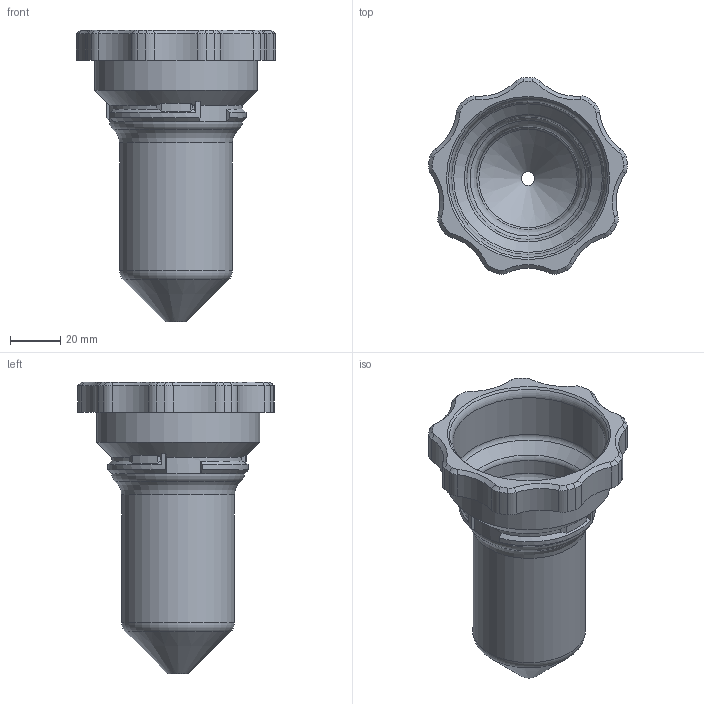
import cadquery as cq
import math

wall = 2.0

cone_height = 18.38
total_height = cone_height + 98.0
knob_height = 12.0
collar_depth = 24.0
neck_end_depth = 36.5

body_radius = 22.5
collar_radius = 32.5
neck_radius = 26.5
tip_fillet = 5.0
neck_bend_convex = 4.0
neck_bend_concave = 7.0

drip_hole_radius = 2.75
mouth_radius = 32.5
mouth_chamfer = 0.8
mouth_round_radius = 5.0
bore_radius = collar_radius - wall
shoulder_fillet = 3.0

lobe_count = 9
knob_radius = 40.0
scallop_radius = 20.0
scallop_center_distance = 56.0
lobe_fillet = 5.0
knob_chamfer = 1.5

lug_count = 3
lug_pitch = 360.0 / lug_count
lug_radius = 28.0
lug_end_angle = 290.0
lug_sweep = 90.0
lug_root = 1.0
lug_height = 5.0
stop_sweep = 4.0
bump_radius = 27.3
bump_start_angle = 258.0
bump_end_angle = 282.5
bump_lead_in = 5.0
bump_lead_out = 2.0

collar_z = total_height - collar_depth
neck_end_z = total_height - neck_end_depth
cone_entry_z = collar_z - (collar_radius - lug_radius)
cone_slope = math.pi / 4


def polar(radius, degrees):
    angle = math.radians(degrees)
    return (radius * math.cos(angle), radius * math.sin(angle))


def bend_points(top_radius, bottom_radius, top_z):
    """S-bend from a wide neck to a narrow body: arc middles, inflection and end."""
    step = top_radius - bottom_radius
    turn = math.acos(1 - step / (neck_bend_convex + neck_bend_concave))
    convex_center = top_radius - neck_bend_convex
    concave_center = bottom_radius + neck_bend_concave
    end_z = top_z - (neck_bend_convex + neck_bend_concave) * math.sin(turn)

    def on_convex(angle):
        radius = convex_center + neck_bend_convex * math.cos(angle)
        return (radius, top_z - neck_bend_convex * math.sin(angle))

    def on_concave(angle):
        radius = concave_center - neck_bend_concave * math.cos(angle)
        return (radius, end_z + neck_bend_concave * math.sin(angle))

    return on_convex(turn / 2), on_convex(turn), on_concave(turn / 2), (bottom_radius, end_z)


def round_corner(corner_radius, corner_z, fillet, side):
    """Fillet between a vertical wall and a 45 degree cone that narrows downwards.

    side = 1 when the wall is above the cone, -1 when it is below.
    Returns the point on the wall, the arc middle and the point on the cone.
    """
    setback = fillet * math.tan(cone_slope / 2)
    center_radius = corner_radius - side * fillet
    center_z = corner_z + side * setback

    def on_arc(angle):
        return (center_radius + side * fillet * math.cos(angle), center_z - side * fillet * math.sin(angle))

    return on_arc(0), on_arc(cone_slope / 2), on_arc(cone_slope)


def make_outer_body():
    """Solid of revolution: collar, cone, neck, S-bend, body and pointed tip."""
    neck_start_z = collar_z - (collar_radius - neck_radius)
    convex_mid, inflection, concave_mid, bend_end = bend_points(neck_radius, body_radius, neck_end_z)
    tip_wall, tip_mid, tip_cone = round_corner(body_radius, cone_height, tip_fillet, 1)
    return (
        cq.Workplane("XZ")
        .moveTo(0, total_height)
        .lineTo(collar_radius, total_height)
        .lineTo(collar_radius, collar_z)
        .lineTo(neck_radius, neck_start_z)
        .lineTo(neck_radius, neck_end_z)
        .threePointArc(convex_mid, inflection)
        .threePointArc(concave_mid, bend_end)
        .lineTo(*tip_wall)
        .threePointArc(tip_mid, tip_cone)
        .lineTo(body_radius - cone_height, 0)
        .lineTo(0, 0)
        .close()
        .revolve(360, (0, 0, 0), (0, 1, 0))
    )


def make_cavity():
    """Hollow inside: mouth, bore, funnel shoulder, throat, conical floor and drip hole."""
    cone_shift = wall * math.tan(cone_slope / 2)
    inner_neck_radius = neck_radius - wall
    inner_body_radius = body_radius - wall
    shoulder_z = collar_z + cone_shift
    throat_z = shoulder_z - (bore_radius - inner_neck_radius)
    floor_z = cone_height + cone_shift

    round_start_radius = mouth_radius - mouth_chamfer
    round_start_z = total_height - mouth_chamfer
    turn = math.acos(1 - (round_start_radius - bore_radius) / mouth_round_radius)
    round_center_radius = bore_radius + mouth_round_radius
    round_end_z = round_start_z - mouth_round_radius * math.sin(turn)
    round_mid = (
        round_center_radius - mouth_round_radius * math.cos(turn / 2),
        round_end_z + mouth_round_radius * math.sin(turn / 2),
    )

    bore_end, shoulder_mid, shoulder_cone = round_corner(bore_radius, shoulder_z, shoulder_fillet, 1)
    throat_wall, throat_mid, throat_cone = round_corner(inner_neck_radius, throat_z, shoulder_fillet, -1)
    convex_mid, inflection, concave_mid, bend_end = bend_points(
        inner_neck_radius, inner_body_radius, neck_end_z
    )
    floor_wall, floor_mid, floor_cone = round_corner(inner_body_radius, floor_z, tip_fillet - wall, 1)
    drip_hole_z = floor_z - (inner_body_radius - drip_hole_radius)
    return (
        cq.Workplane("XZ")
        .moveTo(0, total_height)
        .lineTo(mouth_radius, total_height)
        .lineTo(round_start_radius, round_start_z)
        .threePointArc(round_mid, (bore_radius, round_end_z))
        .lineTo(*bore_end)
        .threePointArc(shoulder_mid, shoulder_cone)
        .lineTo(*throat_cone)
        .threePointArc(throat_mid, throat_wall)
        .lineTo(inner_neck_radius, neck_end_z)
        .threePointArc(convex_mid, inflection)
        .threePointArc(concave_mid, bend_end)
        .lineTo(*floor_wall)
        .threePointArc(floor_mid, floor_cone)
        .lineTo(drip_hole_radius, drip_hole_z)
        .lineTo(drip_hole_radius, 0)
        .lineTo(0, 0)
        .close()
        .revolve(360, (0, 0, 0), (0, 1, 0))
    )


def make_knob():
    """Scalloped grip ring: lobe arcs, scallop arcs and the fillets that join them tangentially."""
    lobe_pitch = 360.0 / lobe_count
    first_lobe_angle = 90.0
    fillet_center_distance = knob_radius - lobe_fillet
    joint_distance = scallop_radius + lobe_fillet
    fillet_angle = math.degrees(math.acos(
        (scallop_center_distance**2 + fillet_center_distance**2 - joint_distance**2)
        / (2 * scallop_center_distance * fillet_center_distance)
    ))
    joint_angle = math.degrees(math.acos(
        (scallop_center_distance**2 + joint_distance**2 - fillet_center_distance**2)
        / (2 * scallop_center_distance * joint_distance)
    ))

    def fillet_points(valley_angle, side):
        """Lobe end, middle and scallop end of the fillet on one side of a valley."""
        center = cq.Vector(*polar(fillet_center_distance, valley_angle + side * fillet_angle))
        lobe_direction = valley_angle + side * fillet_angle
        scallop_direction = valley_angle - side * joint_angle
        middle_direction = (lobe_direction + scallop_direction) / 2
        directions = (lobe_direction, middle_direction, scallop_direction)
        points = [center + cq.Vector(*polar(lobe_fillet, direction)) for direction in directions]
        return [(point.x, point.y) for point in points]

    knob_z = total_height - knob_height
    valley_radius = scallop_center_distance - scallop_radius
    first_lobe_end = fillet_points(first_lobe_angle + lobe_pitch / 2, -1)[0]
    outline = cq.Workplane("XY", origin=(0, 0, knob_z)).moveTo(*first_lobe_end)
    for index in range(lobe_count):
        valley_angle = first_lobe_angle + (index + 0.5) * lobe_pitch
        _, fillet_in_mid, scallop_start = fillet_points(valley_angle, -1)
        lobe_start, fillet_out_mid, scallop_end = fillet_points(valley_angle, 1)
        next_lobe_end = fillet_points(valley_angle + lobe_pitch, -1)[0]
        outline = (
            outline.threePointArc(fillet_in_mid, scallop_start)
            .threePointArc(polar(valley_radius, valley_angle), scallop_end)
            .threePointArc(fillet_out_mid, lobe_start)
            .threePointArc(polar(knob_radius, valley_angle + lobe_pitch / 2), next_lobe_end)
        )
    return outline.close().extrude(knob_height).faces(">Z").chamfer(knob_chamfer)


def make_lug():
    """One bayonet lug with its end stop and snap bump, all rooted in the neck wall."""
    root_radius = neck_radius - lug_root
    flank = lug_radius - root_radius
    overhang = lug_radius - neck_radius
    flat_top_z = neck_end_z + lug_height - overhang
    flat_bottom_z = neck_end_z + overhang
    rib = (
        cq.Workplane("XZ")
        .moveTo(root_radius, flat_bottom_z - flank)
        .lineTo(lug_radius, flat_bottom_z)
        .lineTo(lug_radius, flat_top_z)
        .lineTo(root_radius, flat_top_z + flank)
        .close()
        .revolve(lug_sweep, (0, 0, 0), (0, 1, 0))
        .rotate((0, 0, 0), (0, 0, 1), lug_end_angle - lug_sweep)
    )

    stop_start_angle = lug_end_angle - stop_sweep
    stop = (
        cq.Workplane("XY", origin=(0, 0, flat_bottom_z))
        .moveTo(*polar(root_radius, stop_start_angle))
        .lineTo(*polar(lug_radius, stop_start_angle))
        .threePointArc(polar(lug_radius, lug_end_angle - stop_sweep / 2), polar(lug_radius, lug_end_angle))
        .lineTo(*polar(root_radius, lug_end_angle))
        .close()
        .extrude(cone_entry_z - flat_bottom_z)
    )
    return rib.union(stop).union(make_bump(root_radius, flat_top_z))


def make_bump(root_radius, bottom_z):
    """Low snap bump above the lug, with a flat ramp at each end."""
    bump_middle_angle = (bump_start_angle + bump_end_angle) / 2
    return (
        cq.Workplane("XY", origin=(0, 0, bottom_z))
        .moveTo(*polar(root_radius, bump_start_angle - bump_lead_in))
        .lineTo(*polar(neck_radius, bump_start_angle - bump_lead_in))
        .lineTo(*polar(bump_radius, bump_start_angle))
        .threePointArc(polar(bump_radius, bump_middle_angle), polar(bump_radius, bump_end_angle))
        .lineTo(*polar(neck_radius, bump_end_angle + bump_lead_out))
        .lineTo(*polar(root_radius, bump_end_angle + bump_lead_out))
        .close()
        .extrude(cone_entry_z - bottom_z)
    )


result = make_outer_body().union(make_knob())
lug = make_lug()
for index in range(lug_count):
    result = result.union(lug.rotate((0, 0, 0), (0, 0, 1), index * lug_pitch))
result = result.cut(make_cavity())